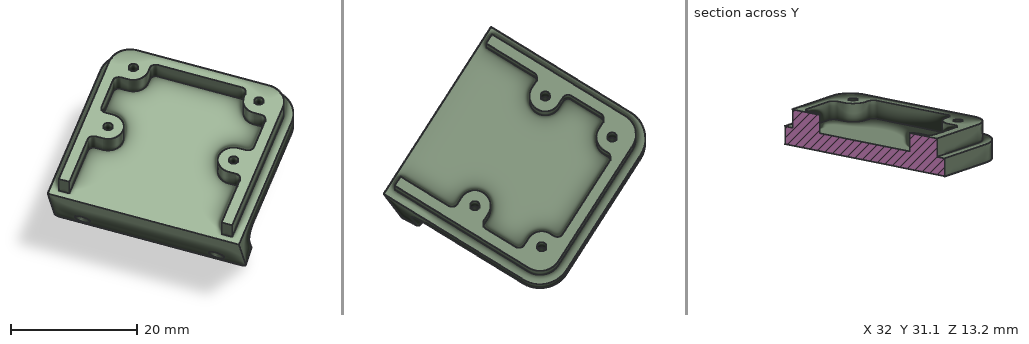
import cadquery as cq
import math

width = 32.0
depth = 31.1
plate_thickness = 3.0
plate_corner_radius = 5.0

wall_height = 3.0
wall_inset = 1.5
wall_thickness = 1.75
wall_front = 1.12
inner_fillet = 1.0

boss_radius = 2.5
boss_spacing = 21.0
back_row = depth - 5.0
row_spacing = 12.5
front_row = back_row - row_spacing
boss_rows = (back_row, front_row)
screw_diameter = 1.5
screw_depth = 4.0
drill_tip_angle = 118.0

flange_drop = 10.25
flange_thickness = 3.0
flange_lean = math.radians(20)
flange_root_fillet = 2.0
flange_corner_radius = 1.0
flange_hole_diameter = 2.5
flange_hole_spacing = 22.4
flange_hole_from_tip = 2.0

lean_sin = math.sin(flange_lean)
lean_cos = math.cos(flange_lean)
lean_tan = math.tan(flange_lean)
flange_length = flange_drop / lean_cos


def box_between(x_min, x_max, y_min, y_max, height):
    """Box standing on the plate's top face."""
    return (
        cq.Workplane("XY")
        .box(x_max - x_min, y_max - y_min, height, centered=False)
        .translate((x_min, y_min, 0))
    )


def make_bracket():
    """Plate and leaning flange, extruded from one side profile."""
    tip_outer = (flange_length * lean_sin, -flange_drop)
    tip_inner = (
        tip_outer[0] + flange_thickness * lean_cos,
        tip_outer[1] + flange_thickness * lean_sin,
    )
    root = (flange_thickness / lean_cos + plate_thickness * lean_tan, -plate_thickness)
    profile = [(0, 0), tip_outer, tip_inner, root, (depth, -plate_thickness), (depth, 0)]
    bracket = cq.Workplane("YZ").polyline(profile).close().extrude(width / 2, both=True)
    bracket = bracket.edges(cq.NearestToPointSelector((0, *root))).fillet(flange_root_fillet)
    bracket = bracket.edges("|Z").edges(">Y").fillet(plate_corner_radius)
    for side in (-1, 1):
        tip_corner = (
            side * width / 2,
            (tip_outer[0] + tip_inner[0]) / 2,
            (tip_outer[1] + tip_inner[1]) / 2,
        )
        bracket = bracket.edges(cq.NearestToPointSelector(tip_corner)).fillet(flange_corner_radius)
    return bracket


def make_wall():
    """U-shaped wall whose inner cavity flows around the screw bosses."""
    outer_x = width / 2 - wall_inset
    outer_back = depth - wall_inset
    inner_x = outer_x - wall_thickness
    wall = box_between(-outer_x, outer_x, wall_front, outer_back, wall_height)
    wall = wall.edges("|Z and >Y").fillet(plate_corner_radius - wall_inset)

    cavity = box_between(-inner_x, inner_x, 0, outer_back - wall_thickness, wall_height)
    boss_x = boss_spacing / 2
    for side in (-1, 1):
        x_min, x_max = sorted((side * boss_x, side * outer_x))
        for row in boss_rows:
            boss = cq.Workplane("XY").center(side * boss_x, row).circle(boss_radius).extrude(wall_height)
            web = box_between(x_min, x_max, row - boss_radius, row + boss_radius, wall_height)
            cavity = cavity.cut(boss).cut(web)
        x_min, x_max = sorted((side * (boss_x - boss_radius), side * outer_x))
        cavity = cavity.cut(box_between(x_min, x_max, back_row, outer_back, wall_height))

    corners = [(boss_x - boss_radius, outer_back - wall_thickness)]
    corners += [
        (inner_x, back_row - boss_radius),
        (inner_x, front_row + boss_radius),
        (inner_x, front_row - boss_radius),
    ]
    for x, y in corners:
        for side in (-1, 1):
            corner = cq.NearestToPointSelector((side * x, y, wall_height / 2))
            cavity = cavity.edges("|Z").edges(corner).fillet(inner_fillet)
    return wall.cut(cavity)


def make_screw_hole(x, y):
    """Blind drilled hole with a conical bottom, entering at the wall's top."""
    radius = screw_diameter / 2
    tip_length = radius / math.tan(math.radians(drill_tip_angle / 2))
    return (
        cq.Workplane("XZ")
        .polyline([(0, 0), (radius, 0), (radius, -screw_depth), (0, -screw_depth - tip_length)])
        .close()
        .revolve(360, (0, 0), (0, 1))
        .translate((x, y, wall_height))
    )


def make_flange_hole(x):
    """Through hole square to the flange's leaning face."""
    along = flange_length - flange_hole_from_tip
    start = cq.Vector(x, along * lean_sin, -along * lean_cos)
    axis = cq.Vector(0, lean_cos, lean_sin)
    return cq.Solid.makeCylinder(flange_hole_diameter / 2, flange_thickness, start, axis)


result = make_bracket().union(make_wall())
for side in (-1, 1):
    for row in boss_rows:
        result = result.cut(make_screw_hole(side * boss_spacing / 2, row))
    result = result.cut(cq.Workplane(make_flange_hole(side * flange_hole_spacing / 2)))